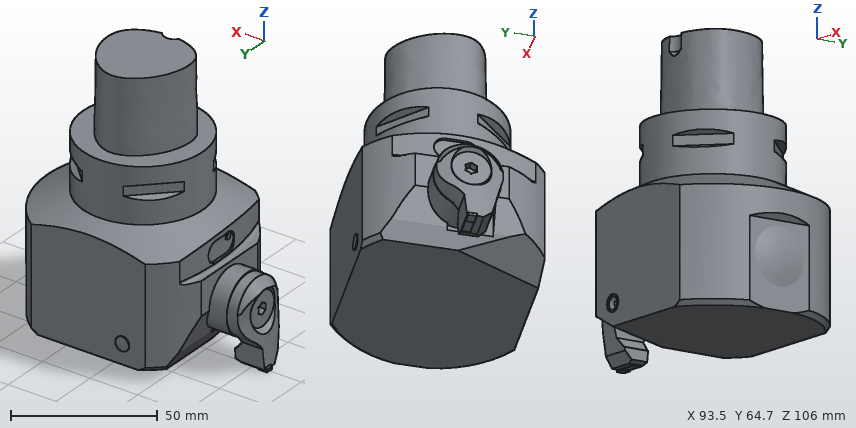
import cadquery as cq
import math


body_radius = 80.0 / 2
flat_half_width = 32.0
shoulder_z = 42.3
collar_base_z = 49.4
collar_radius = 50.0 / 2
collar_top_z = 72.1
bottom_chamfer_width = 1.6
bottom_chamfer_height = 1.9

front_face_x = -36.5
rear_face_x = 38.0
rear_step_z = 33.7
rear_step_chamfer = body_radius - rear_face_x
front_bevel_top_z = 19.1
front_bevel_mid_x = -32.1
front_bevel_mid_z = 6.6
front_bevel_end_x = -28.4

corner_bevel_points = [(-24.0, -flat_half_width, 5.4), (-14.2, -flat_half_width, 0.0), (-30.1, -8.6, 3.0)]

ledge_floor_z = 32.9
ledge_fillet = 1.2
ledge_ends = [(-32.3, 23.5), (-34.3, 0.0), (-28.8, -27.7)]
window_y = 1.5
window_z = 38.6
window_length = 15.8
window_height = 8.5
window_floor_x = -33.3
outlet_y = -3.5
outlet_z = 40.5
outlet_diameter = 3.0
outlet_bore = 1.5
outlet_depth = 1.1
outlet_bore_depth = 4.2

shank_top_z = 102.1
shank_straight_height = 3.2
shank_base_radius = 17.6
shank_top_radius = 17.2
shank_lobe = 1.01
shank_points = 24
notch_radius = 8.1 / 2
notch_y = -18.1
notch_shoulder_z = 96.7

slot_z = 62.0
slot_floor_distance = 22.7
slot_floor_height = 3.7
slot_mouth_height = 6.3

tool_z = 19.1
hub_radius = 24.0 / 2
joint_x = -43.8
seat_y = 4.1
seat_wall_x = -31.6
cap_radius = 10.5
cap_height = 1.6

nozzle_x = -14.5
nozzle_z = 8.3
nozzle_rim_radius = 6.3 / 2
nozzle_dish_radius = 4.7 / 2
nozzle_bore_radius = 1.5 / 2
nozzle_rim_depth = 0.3
nozzle_dish_depth = 1.4
nozzle_bore_depth = 3.2
button_radius = 5.7 / 2
button_height = 0.4
button_tip_height = 0.7
button_root = 1.1

head_radius = 11.7
arm_back_z = 5.2
foot_top_x = -40.8
foot_top_z = 1.6
foot_heel_x = -42.9
foot_heel_z = -2.4
foot_back_x = -40.5
head_nose_x = -53.5
head_bottom_z = -3.3
tip_z = -3.9
tip_root_x = -52.6
tip_root_z = -2.1
tip_rake_z = -2.9
tip_edge_x = -49.8
tip_relief_z = -3.5
tip_back_x = -43.5
tip_sides_y = (-1.2, 1.9)
crown_radius = 23.3
crown_top_z = 31.8
crown_half_width = 15.9
crown_back_x = -31.8
head_cone_base_x = -48.0
head_cone_start = 2.1
screw_radius = 13.9 / 2
screw_face_x = -50.1
screw_cone_angle = 40
hex_flats = 4.1
hex_depth = 3.0

reach = 63.6


def revolve_z(points):
    return cq.Workplane("XZ").polyline(points).close().revolve(360, (0, 0), (0, 1))


def prism_y(points, y_from, y_to):
    """Extrude an XZ outline between two Y positions."""
    return cq.Workplane("XZ", origin=(0, y_from, 0)).polyline(points).close().extrude(y_from - y_to)


def block():
    profile = [
        (0, 0),
        (body_radius - bottom_chamfer_width, 0),
        (body_radius, bottom_chamfer_height),
        (body_radius, shoulder_z),
        (collar_radius, collar_base_z),
        (collar_radius, collar_top_z),
        (0, collar_top_z),
    ]
    side_limits = cq.Workplane("XY").rect(4 * body_radius, 2 * flat_half_width).extrude(collar_top_z)
    return revolve_z(profile).intersect(side_limits)


def front_cutter():
    """Space in front of the flat front face and its two bevels."""
    outline = [
        (-reach, 0),
        (front_bevel_end_x, 0),
        (front_bevel_mid_x, front_bevel_mid_z),
        (front_face_x, front_bevel_top_z),
        (front_face_x, ledge_floor_z),
        (-reach, ledge_floor_z),
    ]
    return prism_y(outline, -reach, reach)


def rear_cutter():
    outline = [
        (rear_face_x, 0),
        (reach, 0),
        (reach, rear_step_z),
        (body_radius, rear_step_z),
        (rear_face_x, rear_step_z - rear_step_chamfer),
    ]
    return prism_y(outline, -reach, reach)


def corner_cutter():
    """Half space below the inclined corner plane."""
    start, along, across = [cq.Vector(*point) for point in corner_bevel_points]
    normal = (along - start).cross(across - start)
    if normal.z > 0:
        normal = normal * -1
    plane = cq.Plane(origin=start, xDir=along - start, normal=normal)
    return cq.Workplane(plane).rect(2 * reach, 2 * reach).extrude(reach)


def ledge_cutter():
    """Space above the ledge, outside its large-radius wall."""
    end_a, middle, end_b = ledge_ends
    return (
        cq.Workplane("XY", origin=(0, 0, ledge_floor_z))
        .moveTo(*end_a)
        .threePointArc(middle, end_b)
        .lineTo(-reach, end_b[1])
        .lineTo(-reach, end_a[1])
        .close()
        .extrude(reach)
        .faces("<Z")
        .edges(">X")
        .fillet(ledge_fillet)
    )


def window_cutter():
    return (
        cq.Workplane("YZ", origin=(window_floor_x, window_y, window_z))
        .slot2D(window_length, window_height)
        .extrude(-reach)
    )


def outlet_cutter():
    mouth = cq.Workplane("YZ", origin=(window_floor_x, outlet_y, outlet_z))
    recess = mouth.circle(outlet_diameter / 2).extrude(outlet_depth)
    return recess.union(mouth.circle(outlet_bore / 2).extrude(outlet_bore_depth))


def lobed_section(radius, z):
    """Three-lobed curve of constant width, traced by its support function."""

    def point(index):
        angle = 2 * math.pi * index / shank_points
        phase = 3 * (angle - math.pi / 2)
        height = radius + shank_lobe * math.cos(phase)
        slope = -3 * shank_lobe * math.sin(phase)
        return (
            height * math.cos(angle) - slope * math.sin(angle),
            height * math.sin(angle) + slope * math.cos(angle),
        )

    points = [point(index) for index in range(shank_points)]
    return cq.Workplane("XY", origin=(0, 0, z)).spline(points, periodic=True).close()


def shank():
    taper_z = collar_top_z + shank_straight_height
    straight = lobed_section(shank_base_radius, collar_top_z).extrude(shank_straight_height)
    taper_ends = [lobed_section(shank_base_radius, taper_z), lobed_section(shank_top_radius, shank_top_z)]
    tapered = cq.Workplane(cq.Solid.makeLoft([section.val() for section in taper_ends], True))
    return straight.union(tapered).cut(notch_cutter())


def notch_cutter():
    """Vertical drill with a 90 degree point, set in the flat side of the shank."""
    profile = [
        (0, notch_shoulder_z - notch_radius),
        (notch_radius, notch_shoulder_z),
        (notch_radius, shank_top_z),
        (0, shank_top_z),
    ]
    return revolve_z(profile).translate((0, notch_y, 0))


def gripper_slot(angle):
    depth = collar_radius - slot_floor_distance
    flare = (slot_mouth_height - slot_floor_height) / 2
    outer_half = slot_floor_height / 2 + 2 * flare
    outline = [
        (slot_floor_distance, -slot_floor_height / 2),
        (slot_floor_distance + 2 * depth, -outer_half),
        (slot_floor_distance + 2 * depth, outer_half),
        (slot_floor_distance, slot_floor_height / 2),
    ]
    slot = prism_y(outline, -collar_radius, collar_radius)
    return slot.translate((0, 0, slot_z)).rotate((0, 0, 0), (0, 0, 1), angle)


def hub_seat():
    """Vertical facet cut into the bevels below the hub, flush with one side of it."""
    seat = cq.Workplane("XY").box(reach, seat_y + hub_radius, tool_z, centered=False)
    return seat.translate((seat_wall_x - reach, -hub_radius, 0))


def hub():
    return cq.Workplane("YZ", origin=(joint_x, 0, tool_z)).circle(hub_radius).extrude(-joint_x)


def rear_cap():
    """Shallow dome on the rear face, on the tool axis."""
    rise_mid = cap_height * 0.75
    return (
        cq.Workplane("XY")
        .moveTo(0, 0)
        .lineTo(rear_face_x + cap_height, 0)
        .threePointArc((rear_face_x + rise_mid, cap_radius / 2), (rear_face_x, cap_radius))
        .lineTo(0, cap_radius)
        .close()
        .revolve(360, (0, 0), (1, 0))
        .translate((0, 0, tool_z))
    )


def revolve_nozzle(points, y):
    """Revolve (radius, y offset) points about the nozzle axis."""
    return (
        cq.Workplane("XY")
        .polyline(points)
        .close()
        .revolve(360, (0, 0), (0, 1))
        .translate((nozzle_x, y, nozzle_z))
    )


def nozzle_cutter():
    profile = [
        (0, 0),
        (nozzle_rim_radius, 0),
        (nozzle_rim_radius, nozzle_rim_depth),
        (nozzle_dish_radius, nozzle_rim_depth),
        (nozzle_bore_radius, nozzle_dish_depth),
        (nozzle_bore_radius, nozzle_bore_depth),
        (0, nozzle_bore_depth),
    ]
    return revolve_nozzle(profile, -flat_half_width)


def nozzle_button():
    profile = [
        (0, -button_root),
        (button_radius, -button_root),
        (button_radius, button_height),
        (nozzle_bore_radius, button_tip_height),
        (0, button_tip_height),
    ]
    return revolve_nozzle(profile, flat_half_width)


def make_housing():
    housing = block().cut(front_cutter()).cut(rear_cutter()).cut(corner_cutter())
    housing = housing.cut(ledge_cutter()).cut(window_cutter()).cut(outlet_cutter()).cut(hub_seat())
    for angle in (45, 135, 225, 315):
        housing = housing.cut(gripper_slot(angle))
    housing = housing.cut(nozzle_cutter()).union(nozzle_button())
    return housing.union(hub()).union(rear_cap()).union(shank())


def head_plate():
    """Round head with a tapering arm, looking along the tool axis."""
    tangent_point = (-11.1, 15.7)
    neck_start = (8.0, 10.4)
    neck_middle = (4.6, 7.4)
    neck_end = (3.0, 5.3)
    arm_end_y = 2.1
    corner_start = (-3.7, head_bottom_z)
    corner_end = (-7.2, 0.3)
    return (
        cq.Workplane("YZ")
        .moveTo(*tangent_point)
        .threePointArc((0, tool_z + head_radius), neck_start)
        .threePointArc(neck_middle, neck_end)
        .lineTo(arm_end_y, head_bottom_z)
        .lineTo(*corner_start)
        .lineTo(*corner_end)
        .close()
        .extrude(-reach)
    )


def head_side():
    outline = [
        (joint_x, crown_top_z),
        (joint_x, arm_back_z),
        (foot_top_x, foot_top_z),
        (foot_back_x, foot_top_z),
        (foot_back_x, foot_heel_z),
        (foot_heel_x, head_bottom_z),
        (-reach, head_bottom_z),
        (-reach, crown_top_z),
    ]
    return prism_y(outline, -reach, reach)


def crown():
    """Space behind the crowned front surface."""
    crest = [(-51.7, crown_top_z), (-51.5, 23.3), (-51.5, 18.0), (-52.3, 10.6), (-52.7, 4.2), (-53.0, head_bottom_z)]
    wires = []
    for crest_x, z in crest:
        sag = crown_radius - math.sqrt(crown_radius**2 - crown_half_width**2)
        wires.append(
            cq.Workplane("XY", origin=(0, 0, z))
            .moveTo(crest_x + sag, -crown_half_width)
            .threePointArc((crest_x, 0), (crest_x + sag, crown_half_width))
            .lineTo(crown_back_x, crown_half_width)
            .lineTo(crown_back_x, -crown_half_width)
            .close()
            .val()
        )
    return cq.Workplane(cq.Solid.makeLoft(wires))


def revolve_tool(points):
    """Revolve (x, radius) points about the tool axis."""
    return (
        cq.Workplane("XY")
        .polyline(points)
        .close()
        .revolve(360, (0, 0), (1, 0))
        .translate((0, 0, tool_z))
    )


def head_cone_cutter():
    """Space outside the 45 degree cone on the upper part of the head."""
    outline = [
        (head_cone_base_x, head_radius),
        (head_cone_base_x - head_radius, 0),
        (-reach, 0),
        (-reach, reach),
        (head_cone_base_x, reach),
    ]
    upper_part = cq.Workplane("XY", origin=(0, 0, tool_z + head_cone_start)).box(4 * reach, 4 * reach, reach, (True, True, False))
    return revolve_tool(outline).intersect(upper_part)


def screw_recess():
    """Conical recess that ends at the face of the clamping screw, with the hexagon socket below it."""
    depth = screw_face_x - head_nose_x
    mouth_radius = screw_radius + depth * math.tan(math.radians(screw_cone_angle))
    recess = revolve_tool(
        [(screw_face_x, 0), (screw_face_x, screw_radius), (head_nose_x, mouth_radius), (head_nose_x, 0)]
    )
    socket = (
        cq.Workplane("YZ", origin=(screw_face_x, 0, tool_z))
        .polygon(6, hex_flats, circumscribed=True)
        .extrude(hex_depth)
    )
    return recess.union(socket)


def cutting_edge():
    """Small cutting tip below the end of the arm."""
    outline = [
        (tip_root_x, tip_root_z),
        (head_nose_x, tip_rake_z),
        (head_nose_x, tip_z),
        (tip_edge_x, tip_z),
        (tip_edge_x, tip_relief_z),
        (tip_back_x, tip_relief_z),
        (tip_back_x, tip_root_z),
    ]
    return prism_y(outline, *tip_sides_y)


def make_head():
    blank = head_plate().intersect(head_side()).intersect(crown())
    return blank.union(cutting_edge()).cut(head_cone_cutter()).cut(screw_recess())


housing = make_housing()
head = make_head()
result = cq.Compound.makeCompound([housing.val(), head.val()])